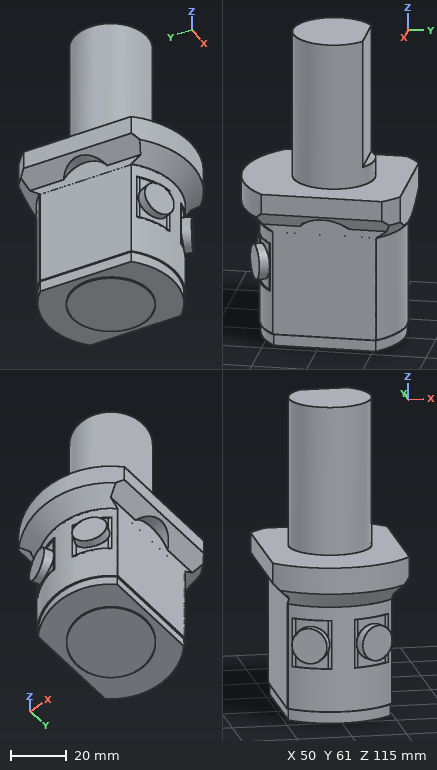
import cadquery as cq
import math

total_height = 115.0
disc_height = 0.6
sleeve_bottom = 5.0
neck_bottom = 43.9
flange_top = 60.1
key_flat_bottom = 67.0

shank_diameter = 30.0
key_flat_offset = 12.1

flange_radius = 33.4
flange_half_width = 25.01
flange_back = 27.6
flange_side_thickness = 7.5

sleeve_radius = 26.8
sleeve_half_width = 19.1
core_radius = 26.3
core_half_width = 18.6
disc_diameter = 32.0

relief_radius = 11.0
relief_top = 51.3

head_angle = 25.0
head_diameter = 13.0
head_reach = 29.4
head_height = 29.9
window_width = 14.7
window_height = 17.9
window_floor = 25.6

side_flat_bottom = flange_top - flange_side_thickness
cone_height = flange_radius - sleeve_radius


def flatted_cylinder(radius, half_width, bottom, top):
    """Cylinder on the Z axis, cut flat at X = -half_width and +half_width."""
    height = top - bottom
    slab = cq.Workplane("XY").box(2 * half_width, 2 * radius, height, centered=(True, True, False))
    return cq.Workplane("XY").circle(radius).extrude(height).intersect(slab).translate((0, 0, bottom))


def radial_plane(angle, distance):
    """Plane whose normal points outward from the Z axis, turned by angle from -Y toward +X."""
    outward_x = math.sin(math.radians(angle))
    outward_y = -math.cos(math.radians(angle))
    return cq.Plane(
        origin=(distance * outward_x, distance * outward_y, head_height),
        xDir=(-outward_y, outward_x, 0),
        normal=(outward_x, outward_y, 0),
    )


def make_flange():
    """Flange tapering at 45 degrees, both around its rim and under its side flats."""
    turned = (
        cq.Workplane("XZ")
        .moveTo(0, neck_bottom)
        .lineTo(sleeve_radius, neck_bottom)
        .lineTo(flange_radius, neck_bottom + cone_height)
        .lineTo(flange_radius, flange_top)
        .lineTo(0, flange_top)
        .close()
        .revolve(360, (0, 0), (0, 1))
    )
    taper = flange_half_width - sleeve_half_width
    envelope = (
        cq.Workplane("XZ", origin=(0, flange_back, 0))
        .moveTo(-sleeve_half_width, neck_bottom)
        .lineTo(sleeve_half_width, neck_bottom)
        .lineTo(sleeve_half_width, side_flat_bottom - taper)
        .lineTo(flange_half_width, side_flat_bottom)
        .lineTo(flange_half_width, flange_top)
        .lineTo(-flange_half_width, flange_top)
        .lineTo(-flange_half_width, side_flat_bottom)
        .lineTo(-sleeve_half_width, side_flat_bottom - taper)
        .close()
        .extrude(flange_back + flange_radius)
    )
    return turned.intersect(envelope)


def make_relief(side):
    """Round cutter outside one side flat; side is -1 or +1."""
    start = cq.Workplane("YZ", origin=(side * sleeve_half_width, 0, relief_top - relief_radius))
    return start.circle(relief_radius).extrude(side * (flange_half_width - sleeve_half_width))


def make_shank():
    """Round shank with a flat on the back that stops above the flange."""
    shank = cq.Workplane("XY", origin=(0, 0, flange_top)).circle(shank_diameter / 2)
    shank = shank.extrude(total_height - flange_top)
    flat_cutter = (
        cq.Workplane("XY", origin=(0, key_flat_offset, key_flat_bottom))
        .box(shank_diameter, shank_diameter, total_height - key_flat_bottom, centered=(True, False, False))
    )
    return shank.cut(flat_cutter)


def make_window(angle):
    """Box cutter with a flat floor, open outward."""
    depth = sleeve_radius - window_floor
    return cq.Workplane(radial_plane(angle, window_floor)).rect(window_width, window_height).extrude(depth)


def make_head(angle):
    """Round clamping head rising radially from inside the core."""
    root = core_radius / 2
    return cq.Workplane(radial_plane(angle, root)).circle(head_diameter / 2).extrude(head_reach - root)


def make_core():
    """Core with its bottom disc and the two clamping heads."""
    core = flatted_cylinder(core_radius, core_half_width, disc_height, neck_bottom)
    core = core.union(cq.Workplane("XY").circle(disc_diameter / 2).extrude(disc_height))
    for angle in (-head_angle, head_angle):
        core = core.union(make_head(angle))
    return core.solids()


def make_holder(core):
    """Shank, flange and sleeve in one piece, with the socket for the core."""
    sleeve = flatted_cylinder(sleeve_radius, sleeve_half_width, sleeve_bottom, neck_bottom)
    holder = sleeve.union(make_flange()).union(make_shank())
    for side in (-1, 1):
        holder = holder.cut(make_relief(side))
    for angle in (-head_angle, head_angle):
        holder = holder.cut(make_window(angle))
    return holder.cut(core).solids()


core = make_core()
holder = make_holder(core)
result = cq.Compound.makeCompound([holder.val(), core.val()])